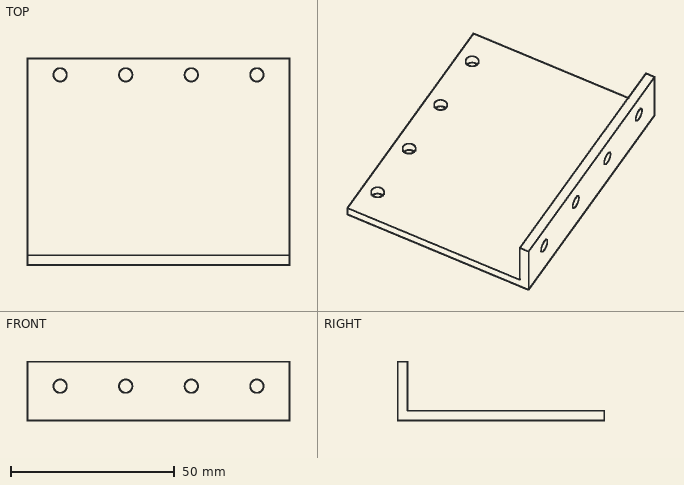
import cadquery as cq

length = 80.0
height = 18.0
thickness = 3.0
plate_depth = 60.0
depth = plate_depth + thickness

hole_diameter = 4.0
hole_count = 4
hole_pitch = length / hole_count
plate_hole_inset = 5.0
plate_hole_y = depth - plate_hole_inset
flange_hole_z = (thickness + height) / 2


def hole_row(direction, y, z, cut_length):
    """Evenly spaced cylinders along X, each starting at (x, y, z)."""
    row = cq.Workplane("XY")
    for index in range(hole_count):
        x = (index + 0.5) * hole_pitch
        row = row.add(cq.Solid.makeCylinder(
            hole_diameter / 2, cut_length, cq.Vector(x, y, z), direction))
    return row.combine()


plate = cq.Workplane("XY").box(length, depth, thickness, centered=False)
flange = cq.Workplane("XY").box(length, thickness, height, centered=False)
body = plate.union(flange)

plate_holes = hole_row(cq.Vector(0, 0, 1), plate_hole_y, 0, thickness)
flange_holes = hole_row(cq.Vector(0, 1, 0), 0, flange_hole_z, thickness)

result = body.cut(plate_holes).cut(flange_holes)